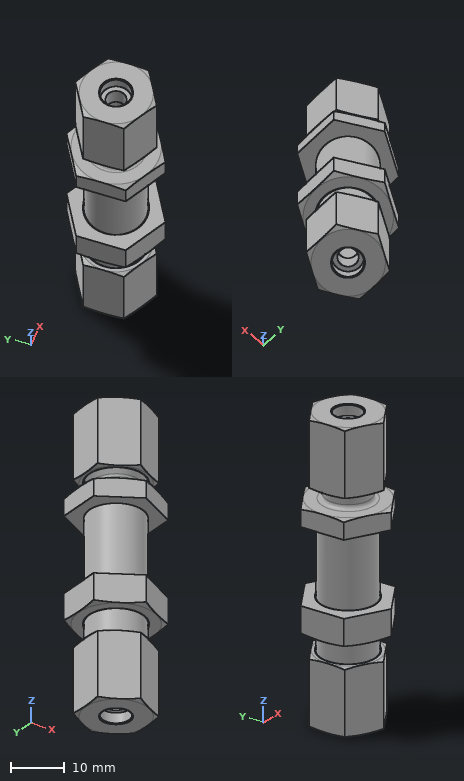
import cadquery as cq
import math


TOTAL_LENGTH = 64.0

BODY_HEX_FLATS = 17.0
NUT_HEX_FLATS = 14.0
CHAMFER_INSET = 0.1
CHAMFER_ANGLE = 15.0

NUT_LENGTH = 14.5
LOCKNUT_BOTTOM = 19.6
LOCKNUT_HEIGHT = 6.1
COLLAR_BOTTOM = 42.0
COLLAR_HEIGHT = 4.0
COLLAR_TOP = COLLAR_BOTTOM + COLLAR_HEIGHT

THREAD_DIAMETER = 12.0
THREAD_MOUTH_DIAMETER = 12.4
BORE_DIAMETER = 4.0
TUBE_DIAMETER = 6.0
TUBE_MOUTH_DIAMETER = 6.4
RING_DIAMETER = 8.0

RING_DEPTH = 2.4
THREAD_END_DEPTH = 6.0

NECK_DIAMETER = 9.7
NECK_FILLET = 0.95
RELIEF_ANGLE = 30.0
RELIEF_RADIUS = 1.0
RELIEF_BLEND_BOTTOM = 48.3


def cylinder(diameter, bottom, top):
    return cq.Workplane("XY").workplane(offset=bottom).circle(diameter / 2).extrude(top - bottom)


def cone(bottom_diameter, top_diameter, bottom, top):
    solid = cq.Solid.makeCone(
        bottom_diameter / 2, top_diameter / 2, top - bottom, cq.Vector(0, 0, bottom)
    )
    return cq.Workplane(obj=solid)


def chamfer_envelope(flats, bottom, top, chamfer_bottom, chamfer_top):
    """Turned blank whose conical ends trim the corners of a hexagon."""
    start_radius = (flats - CHAMFER_INSET) / 2
    outer_radius = flats
    drop = (outer_radius - start_radius) * math.tan(math.radians(CHAMFER_ANGLE))
    profile = [(0, bottom)]
    if chamfer_bottom:
        profile += [(start_radius, bottom), (outer_radius, bottom + drop)]
    else:
        profile += [(outer_radius, bottom)]
    if chamfer_top:
        profile += [(outer_radius, top - drop), (start_radius, top)]
    else:
        profile += [(outer_radius, top)]
    profile += [(0, top)]
    return cq.Workplane("XZ").polyline(profile).close().revolve(360, (0, 0), (0, 1))


def hexagon(flats, bottom, top, chamfer_bottom=False, chamfer_top=False):
    """Hexagonal prism with corners on the Y axis and optional end chamfers."""
    prism = (
        cq.Workplane("XY")
        .workplane(offset=bottom)
        .transformed(rotate=(0, 0, 90))
        .polygon(6, flats / math.cos(math.pi / 6))
        .extrude(top - bottom)
    )
    return prism.intersect(chamfer_envelope(flats, bottom, top, chamfer_bottom, chamfer_top))


def make_fitting_body():
    thread_radius = THREAD_DIAMETER / 2
    neck_radius = NECK_DIAMETER / 2
    bore_radius = BORE_DIAMETER / 2
    thread_bottom = THREAD_END_DEPTH
    thread_top = TOTAL_LENGTH - THREAD_END_DEPTH

    slope = math.radians(RELIEF_ANGLE)
    blend_mid = (
        neck_radius + RELIEF_RADIUS * (1 - math.cos(slope / 2)),
        RELIEF_BLEND_BOTTOM + RELIEF_RADIUS * math.sin(slope / 2),
    )
    blend_end = (
        neck_radius + RELIEF_RADIUS * (1 - math.cos(slope)),
        RELIEF_BLEND_BOTTOM + RELIEF_RADIUS * math.sin(slope),
    )
    relief_top = blend_end[1] + (thread_radius - blend_end[0]) / math.tan(slope)

    fillet_offset = NECK_FILLET * (1 - math.sqrt(0.5))
    turned = (
        cq.Workplane("XZ")
        .moveTo(bore_radius, thread_bottom)
        .lineTo(thread_radius, thread_bottom)
        .lineTo(thread_radius, COLLAR_TOP)
        .lineTo(neck_radius + NECK_FILLET, COLLAR_TOP)
        .threePointArc(
            (neck_radius + fillet_offset, COLLAR_TOP + fillet_offset),
            (neck_radius, COLLAR_TOP + NECK_FILLET),
        )
        .lineTo(neck_radius, RELIEF_BLEND_BOTTOM)
        .threePointArc(blend_mid, blend_end)
        .lineTo(thread_radius, relief_top)
        .lineTo(thread_radius, thread_top)
        .lineTo(bore_radius, thread_top)
        .close()
        .revolve(360, (0, 0), (0, 1))
    )
    collar = hexagon(BODY_HEX_FLATS, COLLAR_BOTTOM, COLLAR_TOP, chamfer_top=True)
    return turned.union(collar.cut(cylinder(BORE_DIAMETER, COLLAR_BOTTOM, COLLAR_TOP)))


def make_locknut():
    top = LOCKNUT_BOTTOM + LOCKNUT_HEIGHT
    mouth_depth = (THREAD_MOUTH_DIAMETER - THREAD_DIAMETER) / 2
    nut = hexagon(BODY_HEX_FLATS, LOCKNUT_BOTTOM, top, chamfer_bottom=True)
    nut = nut.cut(cylinder(THREAD_DIAMETER, LOCKNUT_BOTTOM, top))
    nut = nut.cut(
        cone(THREAD_MOUTH_DIAMETER, THREAD_DIAMETER, LOCKNUT_BOTTOM, LOCKNUT_BOTTOM + mouth_depth)
    )
    return nut.cut(cone(THREAD_DIAMETER, THREAD_MOUTH_DIAMETER, top - mouth_depth, top))


def make_coupling_nut():
    """Coupling nut of the lower end, its outer face at Z = 0."""
    tube_mouth_depth = (TUBE_MOUTH_DIAMETER - TUBE_DIAMETER) / 2
    thread_mouth_depth = (THREAD_MOUTH_DIAMETER - THREAD_DIAMETER) / 2
    nut = hexagon(NUT_HEX_FLATS, 0, NUT_LENGTH, chamfer_bottom=True, chamfer_top=True)
    nut = nut.cut(cone(TUBE_MOUTH_DIAMETER, TUBE_DIAMETER, 0, tube_mouth_depth))
    nut = nut.cut(cylinder(TUBE_DIAMETER, 0, RING_DEPTH))
    nut = nut.cut(cylinder(RING_DIAMETER, RING_DEPTH, THREAD_END_DEPTH))
    nut = nut.cut(cylinder(THREAD_DIAMETER, THREAD_END_DEPTH, NUT_LENGTH))
    return nut.cut(
        cone(THREAD_DIAMETER, THREAD_MOUTH_DIAMETER, NUT_LENGTH - thread_mouth_depth, NUT_LENGTH)
    )


def make_clamping_ring():
    """Ring of the lower end, between the nut's shoulder and the end of the body."""
    ring = cylinder(RING_DIAMETER, RING_DEPTH, THREAD_END_DEPTH)
    return ring.cut(cylinder(BORE_DIAMETER, RING_DEPTH, THREAD_END_DEPTH))


bodies = [make_fitting_body().val(), make_locknut().val()]

for make_end_body in (make_coupling_nut, make_clamping_ring):
    lower = make_end_body()
    for end_body in (lower, lower.mirror("XY", (0, 0, TOTAL_LENGTH / 2))):
        bodies.append(end_body.val())

result = cq.Compound.makeCompound(bodies)